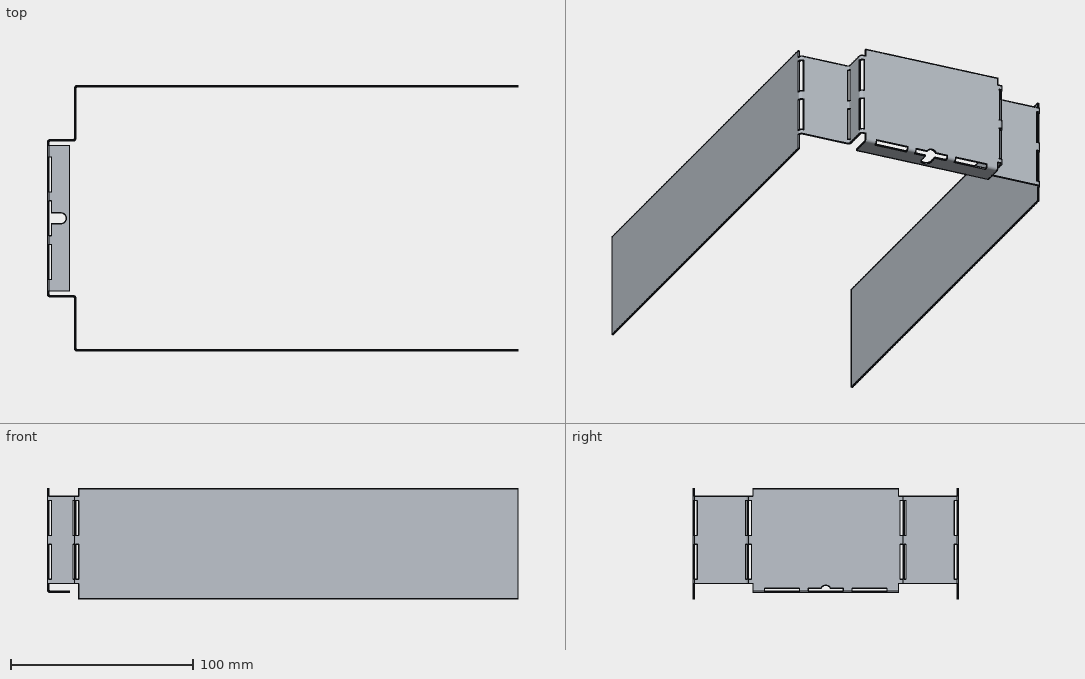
import cadquery as cq
import math

TOTAL_LENGTH = 258.29
TOTAL_WIDTH = 145.77
SIDE_HEIGHT = 60.5

SHEET = 0.82
BEND_INNER = 0.8
BEND_OUTER = BEND_INNER + SHEET

PLATE_WIDTH = 80.0
FLANGE_BOTTOM = 3.5
FLANGE_REACH = 12.3

STRIP_HEIGHT = 48.0
STRIP_TOP_GAP = 4.1
STRIP_BOTTOM = SIDE_HEIGHT - STRIP_TOP_GAP - STRIP_HEIGHT
WEB_OUTER_Y = 43.13
SHELF_FRONT_X = 14.93

RELIEF_LENGTH = 19.0
RELIEF_WIDTH = 2.3
SHELF_RELIEF_WIDTH = BEND_OUTER
RELIEF_TAB = 5.0
RELIEF_PITCH = RELIEF_LENGTH + RELIEF_TAB
STRIP_RELIEFS = 2
FLANGE_RELIEFS = 3

NOTCH_WIDTH = 5.8
NOTCH_RADIUS = NOTCH_WIDTH / 2
NOTCH_REACH = 10.4
NOTCH_TOP = 7.45

PLATE_BEND_HALF_WIDTH = WEB_OUTER_Y - BEND_OUTER
WEB_INNER_Y = WEB_OUTER_Y - SHEET
SHELF_START_Y = WEB_INNER_Y + BEND_OUTER
SIDE_OUTER_Y = TOTAL_WIDTH / 2
SIDE_INNER_Y = SIDE_OUTER_Y - SHEET
SHELF_END_Y = SIDE_OUTER_Y - BEND_OUTER
SHELF_BACK_X = SHELF_FRONT_X + SHEET
WEB_END_X = SHELF_BACK_X - BEND_OUTER
SIDE_BEND_END_X = SHELF_FRONT_X + BEND_OUTER
SIDE_START_X = SHELF_FRONT_X + RELIEF_WIDTH
PLATE_FLAT_BOTTOM = FLANGE_BOTTOM + BEND_OUTER


def box(x0, x1, y0, y1, z0, z1):
    """Box between two opposite corners."""
    return cq.Workplane("XY").box(x1 - x0, y1 - y0, z1 - z0, centered=False).translate((x0, y0, z0))


def arc_point(center, radius, angle):
    """Point on a circle at an angle in degrees."""
    turn = math.radians(angle)
    return (center[0] + radius * math.cos(turn), center[1] + radius * math.sin(turn))


def relief_starts(count, center):
    """Start positions of a row of relief slots centred on a coordinate."""
    first = center - (count * RELIEF_PITCH - RELIEF_TAB) / 2
    return [first + i * RELIEF_PITCH for i in range(count)]


def folded_strip():
    """Strip on the +Y side: half front plate, web, shelf and start of the side panel."""
    plate_bend = (BEND_OUTER, PLATE_BEND_HALF_WIDTH)
    shelf_bend = (WEB_END_X, SHELF_START_Y)
    side_bend = (SIDE_BEND_END_X, SHELF_END_Y)
    side_stub_end = SIDE_START_X + SHEET
    strip = (
        cq.Workplane("XY", origin=(0, 0, STRIP_BOTTOM))
        .moveTo(0, 0)
        .lineTo(0, PLATE_BEND_HALF_WIDTH)
        .threePointArc(arc_point(plate_bend, BEND_OUTER, 135), (BEND_OUTER, WEB_OUTER_Y))
        .lineTo(WEB_END_X, WEB_OUTER_Y)
        .threePointArc(arc_point(shelf_bend, BEND_INNER, -45), (SHELF_FRONT_X, SHELF_START_Y))
        .lineTo(SHELF_FRONT_X, SHELF_END_Y)
        .threePointArc(arc_point(side_bend, BEND_OUTER, 135), (SIDE_BEND_END_X, SIDE_OUTER_Y))
        .lineTo(side_stub_end, SIDE_OUTER_Y)
        .lineTo(side_stub_end, SIDE_INNER_Y)
        .lineTo(SIDE_BEND_END_X, SIDE_INNER_Y)
        .threePointArc(arc_point(side_bend, BEND_INNER, 135), (SHELF_BACK_X, SHELF_END_Y))
        .lineTo(SHELF_BACK_X, SHELF_START_Y)
        .threePointArc(arc_point(shelf_bend, BEND_OUTER, -45), (WEB_END_X, WEB_INNER_Y))
        .lineTo(BEND_OUTER, WEB_INNER_Y)
        .threePointArc(arc_point(plate_bend, BEND_INNER, 135), (SHEET, PLATE_BEND_HALF_WIDTH))
        .lineTo(SHEET, 0)
        .close()
        .extrude(STRIP_HEIGHT)
    )
    plate_relief_y = WEB_OUTER_Y - RELIEF_WIDTH
    shelf_relief_x = SHELF_BACK_X - SHELF_RELIEF_WIDTH
    side_relief_y = SIDE_OUTER_Y - RELIEF_WIDTH
    reliefs = [
        (0, plate_relief_y, RELIEF_WIDTH),
        (shelf_relief_x, WEB_INNER_Y, SHELF_RELIEF_WIDTH),
        (SHELF_FRONT_X, side_relief_y, RELIEF_WIDTH),
    ]
    for z in relief_starts(STRIP_RELIEFS, STRIP_BOTTOM + STRIP_HEIGHT / 2):
        for x, y, width in reliefs:
            strip = strip.cut(box(x, x + width, y, y + width, z, z + RELIEF_LENGTH))
    return strip


def side_panel():
    """Long flat panel on the +Y side."""
    return box(SIDE_START_X, TOTAL_LENGTH, SIDE_INNER_Y, SIDE_OUTER_Y, 0, SIDE_HEIGHT)


def front_plate():
    """Front plate with the flange folded back along its bottom edge."""
    bend = (BEND_OUTER, PLATE_FLAT_BOTTOM)
    flange_top = FLANGE_BOTTOM + SHEET
    plate = (
        cq.Workplane("XZ")
        .moveTo(0, SIDE_HEIGHT)
        .lineTo(0, PLATE_FLAT_BOTTOM)
        .threePointArc(arc_point(bend, BEND_OUTER, 225), (BEND_OUTER, FLANGE_BOTTOM))
        .lineTo(FLANGE_REACH, FLANGE_BOTTOM)
        .lineTo(FLANGE_REACH, flange_top)
        .lineTo(BEND_OUTER, flange_top)
        .threePointArc(arc_point(bend, BEND_INNER, 225), (SHEET, PLATE_FLAT_BOTTOM))
        .lineTo(SHEET, SIDE_HEIGHT)
        .close()
        .extrude(PLATE_WIDTH / 2, both=True)
    )
    relief_top = FLANGE_BOTTOM + RELIEF_WIDTH
    for y in relief_starts(FLANGE_RELIEFS, 0):
        plate = plate.cut(box(0, RELIEF_WIDTH, y, y + RELIEF_LENGTH, FLANGE_BOTTOM, relief_top))
    return plate


def bend_notch():
    """Cutter for the notch: its straight run and round end in the flange, its other end in the plate."""
    flange_center_x = NOTCH_REACH - NOTCH_RADIUS
    plate_center_z = NOTCH_TOP - NOTCH_RADIUS
    run = box(0, flange_center_x, -NOTCH_RADIUS, NOTCH_RADIUS, FLANGE_BOTTOM, FLANGE_BOTTOM + SHEET)
    flange_end = (
        cq.Workplane("XY", origin=(flange_center_x, 0, FLANGE_BOTTOM))
        .circle(NOTCH_RADIUS)
        .extrude(SHEET)
    )
    plate_end = (
        cq.Workplane("YZ", origin=(0, 0, plate_center_z))
        .circle(NOTCH_RADIUS)
        .extrude(SHEET)
    )
    return run.union(flange_end).union(plate_end)


half = folded_strip().union(side_panel())
result = (
    front_plate()
    .union(half)
    .union(half.mirror("XZ"))
    .cut(bend_notch())
)